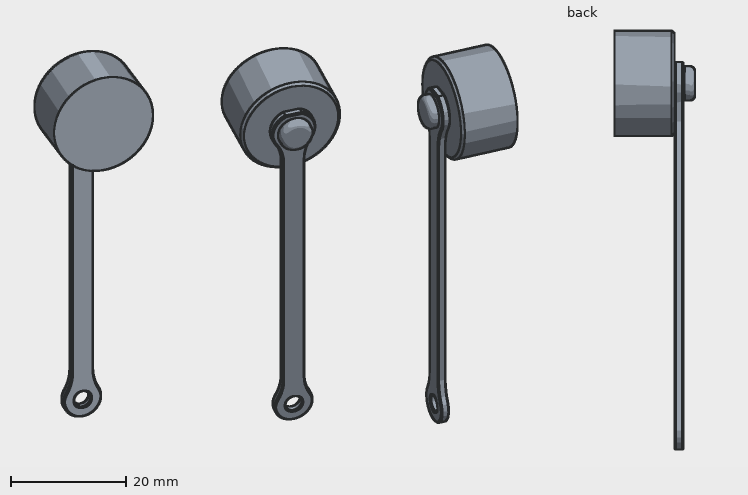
import cadquery as cq
import math

cap_diameter = 18.3
cap_length = 10.45
cap_chamfer = 0.5

strap_thickness = 1.5
strap_width = 4.0
upper_lobe_radius = 4.0
lower_lobe_radius = 3.5
top_flat_height = 3.7
neck_radius = 8.0
eyelet_diameter = 3.0
strap_edge_chamfer = 0.2

head_diameter = 6.0
head_fillet = 1.0
shank_diameter = 4.0
head_projection = 2.0
head_gap = 0.2

overall_height = 72.65
strap_face_x = -strap_thickness
head_base_x = strap_face_x - head_gap
head_length = head_projection - head_gap
lower_lobe_z = cap_diameter / 2 - overall_height + lower_lobe_radius


def disc(diameter, start_x, length):
    """Cylinder on the cap axis, growing toward +X for a positive length."""
    return cq.Workplane("YZ").workplane(offset=start_x).circle(diameter / 2).extrude(length)


def neck_points(lobe_radius):
    """Lobe tangent point, neck arc midpoint and bar tangent point.

    Each is (distance from the strap centreline, distance from the lobe centre toward the bar).
    """
    arc_center_y = strap_width / 2 + neck_radius
    center_distance = lobe_radius + neck_radius
    arc_center_z = math.sqrt(center_distance**2 - arc_center_y**2)
    share = lobe_radius / center_distance
    on_lobe = (arc_center_y * share, arc_center_z * share)
    half_angle = math.atan2(arc_center_z, arc_center_y) / 2
    middle = (
        arc_center_y - neck_radius * math.cos(half_angle),
        arc_center_z - neck_radius * math.sin(half_angle),
    )
    on_bar = (strap_width / 2, arc_center_z)
    return on_lobe, middle, on_bar


def make_cap():
    body = disc(cap_diameter, 0, cap_length).faces("<X").chamfer(cap_chamfer)
    shank = disc(shank_diameter, 0, head_base_x)
    head = disc(head_diameter, head_base_x, -head_length).faces("<X").edges().fillet(head_fillet)
    return body.union(shank).union(head)


def make_strap():
    upper = [(y, -z) for y, z in neck_points(upper_lobe_radius)]
    lower = [(y, lower_lobe_z + z) for y, z in neck_points(lower_lobe_radius)]
    flat_half_width = math.sqrt(upper_lobe_radius**2 - top_flat_height**2)

    def mirrored(point):
        return (-point[0], point[1])

    outline = (
        cq.Workplane("YZ")
        .moveTo(-flat_half_width, top_flat_height)
        .lineTo(flat_half_width, top_flat_height)
        .threePointArc((upper_lobe_radius, 0), upper[0])
        .threePointArc(upper[1], upper[2])
        .lineTo(*lower[2])
        .threePointArc(lower[1], lower[0])
        .threePointArc((0, lower_lobe_z - lower_lobe_radius), mirrored(lower[0]))
        .threePointArc(mirrored(lower[1]), mirrored(lower[2]))
        .lineTo(*mirrored(upper[2]))
        .threePointArc(mirrored(upper[1]), mirrored(upper[0]))
        .threePointArc((-upper_lobe_radius, 0), (-flat_half_width, top_flat_height))
        .close()
    )
    bar = outline.extrude(-strap_thickness)
    eyelet = disc(eyelet_diameter, 0, -strap_thickness).translate((0, 0, lower_lobe_z))
    bar = bar.cut(eyelet).faces("<X or >X").edges().chamfer(strap_edge_chamfer)
    return bar.cut(disc(shank_diameter, 0, -strap_thickness))


cap = make_cap()
strap = make_strap()

result = cq.Compound.makeCompound([cap.val(), strap.val()])